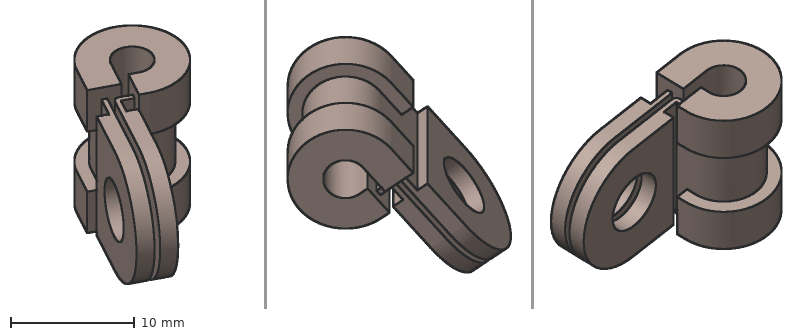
import cadquery as cq

overall_length = 20.7

cushion_radius = 4.7
bore_radius = 1.8
cushion_height = 14.4
lower_end_length = 2.9
upper_end_length = 0.87

strap_thickness = 0.5
strap_inner_radius = 3.0
strap_outer_radius = strap_inner_radius + strap_thickness
strap_width = 12.0
bend_radius = strap_thickness
groove_height = 6.05

ear_thickness = 1.53
ear_gap = 0.48
ear_start_x = 4.99
ear_radius = strap_width / 2
ear_center_x = overall_length - cushion_radius - ear_radius
hole_center_x = 9.81
hole_radius = 2.65

lower_ear_top = -strap_inner_radius
upper_ear_bottom = lower_ear_top + ear_gap


def block(x_min, x_max, y_min, y_max, height):
    """Box between the given X and Y limits, centred on Z = 0."""
    return cq.Workplane("XY").box(
        x_max - x_min, y_max - y_min, height
    ).translate(((x_min + x_max) / 2, (y_min + y_max) / 2, 0))


def clamp_loop(inner, outer, height):
    """Three-quarter ring with a straight extension at each end."""
    ring = cq.Workplane("XY", origin=(0, 0, -height / 2)).circle(outer).circle(inner).extrude(height)
    opening = block(0, outer, -outer, 0, height)
    lower_end = block(0, lower_end_length, -outer, -inner, height)
    upper_end = block(inner, outer, -upper_end_length, 0, height)
    return ring.cut(opening).union(lower_end).union(upper_end)


def ear(y_min):
    """Plate with a rounded free end, lying parallel to the XZ plane."""
    profile = (
        cq.Workplane("XZ", origin=(0, y_min, 0))
        .moveTo(ear_start_x, -ear_radius)
        .lineTo(ear_center_x, -ear_radius)
        .threePointArc((ear_center_x + ear_radius, 0), (ear_center_x, ear_radius))
        .lineTo(ear_start_x, ear_radius)
        .close()
    )
    return profile.extrude(-ear_thickness)


cushion = clamp_loop(bore_radius, cushion_radius, cushion_height)
groove = clamp_loop(strap_outer_radius, cushion_radius, groove_height)
body = cushion.cut(groove)

lower_leg = block(0, ear_start_x, -strap_outer_radius, -strap_inner_radius, strap_width)

upper_leg = (
    block(strap_inner_radius, strap_outer_radius, upper_ear_bottom, 0, strap_width)
    .union(
        block(
            strap_inner_radius, ear_start_x,
            upper_ear_bottom, upper_ear_bottom + strap_thickness, strap_width,
        )
    )
    .edges("|Z and <X and <Y")
    .fillet(bend_radius)
)

hole = (
    cq.Workplane("XZ", origin=(hole_center_x, 0, 0))
    .circle(hole_radius)
    .extrude(cushion_radius)
)
ears = ear(lower_ear_top - ear_thickness).union(ear(upper_ear_bottom)).cut(hole)

result = body.union(lower_leg).union(upper_leg).union(ears)